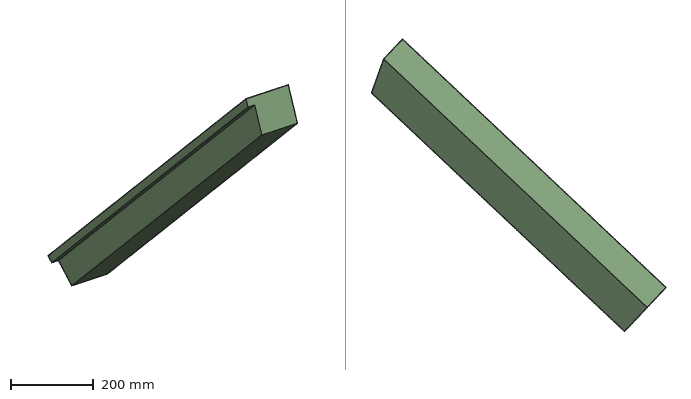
import cadquery as cq
import math

size_x = 701.5
size_y = 146.0
size_z = 631.0

slope = math.radians(40)
thickness = 90.0
plank_thickness = 19.5
overhang = 23.0

run = math.cos(slope)
rise = math.sin(slope)

top_length = (size_z - thickness * run) / rise
bottom_length = (size_x - thickness * rise) / run


def slope_point(along, height):
    """XZ point from distances along and square to the slope, starting at the lowest edge."""
    return (along * run - height * rise, along * rise + height * run)


def upper_end(height):
    """Distance along the slope to the bevelled upper end at a given height."""
    return bottom_length + (top_length - bottom_length) * height / thickness


def layer(low, high, width):
    """Part of the beam between two heights, flush with the +Y side."""
    outline = [
        slope_point(0, low),
        slope_point(upper_end(low), low),
        slope_point(upper_end(high), high),
        slope_point(0, high),
    ]
    back_face = cq.Workplane("XZ", origin=(0, size_y, 0))
    return back_face.polyline(outline).close().extrude(width)


plank_underside = thickness - plank_thickness
body = layer(0, plank_underside, size_y - overhang)
plank = layer(plank_underside, thickness, size_y)

result = body.union(plank)